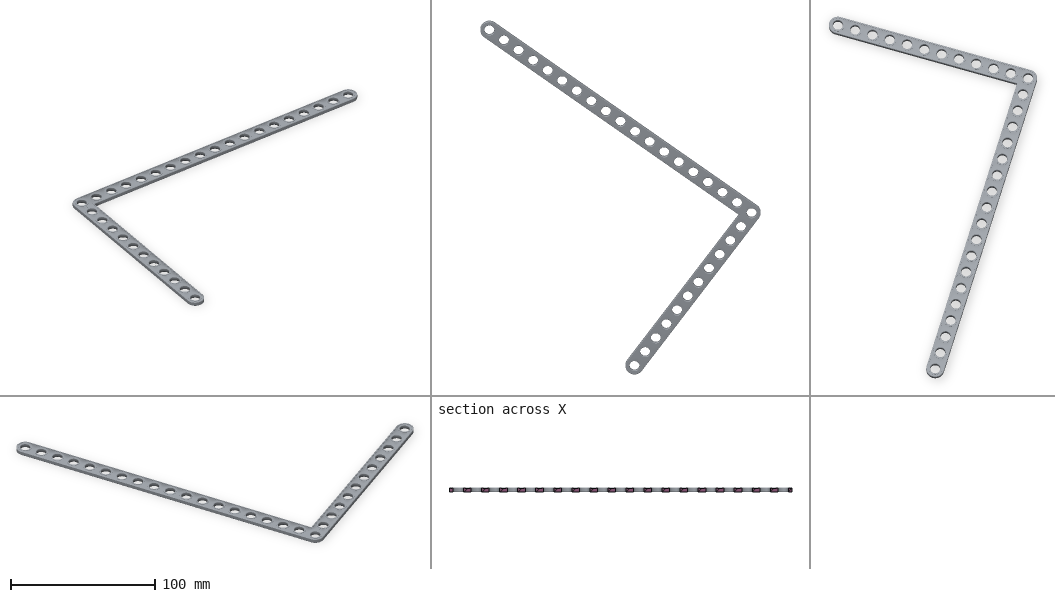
import cadquery as cq

LONG_SIDE = 237.5
HOLES_LONG = 19
HOLES_SHORT = 12
THICKNESS = 3.0
HOLE_DIAMETER = 7.0
COLLAR_DIAMETER = 9.3
RIM_WIDTH = 1.07
POCKET_DEPTH = 0.2
EDGE_CHAMFER = 0.3
CORNER_RIB_WIDTH = 0.2

PITCH = LONG_SIDE / HOLES_LONG
FLOOR_HEIGHT = THICKNESS - POCKET_DEPTH


def strip(hole_count, width, height):
    """Round-ended strip along +X, with its first hole position at the origin."""
    hole_span = (hole_count - 1) * PITCH
    return (
        cq.Workplane("XY")
        .center(hole_span / 2, 0)
        .slot2D(hole_span + width, width)
        .extrude(height)
    )


def angle_plate(width, height):
    """L-shaped plate: a short arm along +X and a long arm along +Y."""
    short_arm = strip(HOLES_SHORT, width, height)
    long_arm = strip(HOLES_LONG, width, height).rotate((0, 0, 0), (0, 0, 1), 90)
    return short_arm.union(long_arm).clean()


def hole_cylinders(diameter, height):
    """Cylinders at every hole position; the corner position is shared by both arms."""
    short_arm = [(i * PITCH, 0) for i in range(HOLES_SHORT)]
    long_arm = [(0, i * PITCH) for i in range(1, HOLES_LONG)]
    return (
        cq.Workplane("XY")
        .pushPoints(short_arm + long_arm)
        .circle(diameter / 2)
        .extrude(height)
    )


def corner_rib():
    """Thin rib on the short arm's centreline, from the corner hole to its neighbour."""
    return (
        cq.Workplane("XY")
        .center(PITCH / 2, 0)
        .rect(PITCH, CORNER_RIB_WIDTH)
        .extrude(POCKET_DEPTH)
    )


def pocket():
    """Shallow recess inside the rim, broken by the hole collars and the corner rib."""
    return (
        angle_plate(PITCH - 2 * RIM_WIDTH, POCKET_DEPTH)
        .cut(hole_cylinders(COLLAR_DIAMETER, POCKET_DEPTH))
        .cut(corner_rib())
        .translate((0, 0, FLOOR_HEIGHT))
    )


plate = angle_plate(PITCH, THICKNESS).cut(hole_cylinders(HOLE_DIAMETER, THICKNESS))
plate = plate.faces(">Z or <Z").chamfer(EDGE_CHAMFER)

result = plate.cut(pocket())